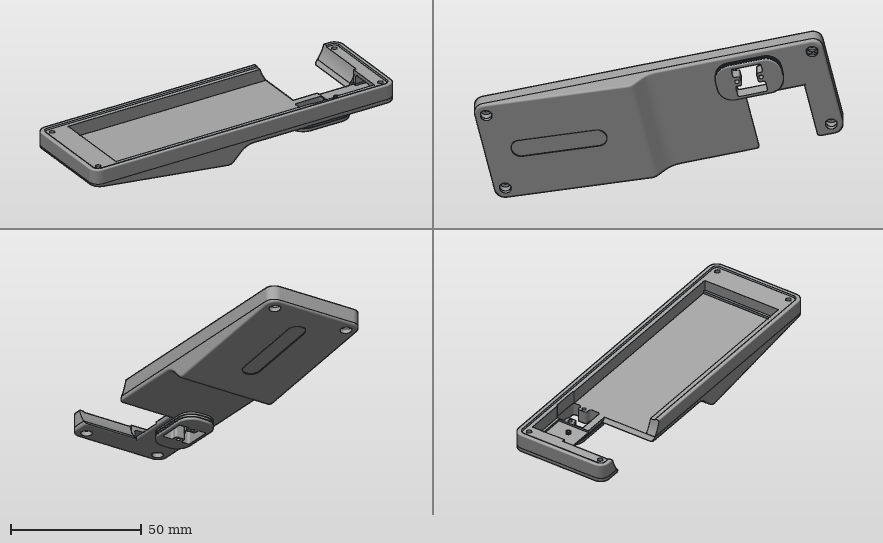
import cadquery as cq
import math


width = 42.1
length = 137.0
body_depth = 8.0
total_depth = 14.55
corner_radius = 4.0
top_fillet = 0.5
bottom_fillet = 0.9
left = -width / 2
rear = length / 2
front = -length / 2

front_depth = 7.1
tip_y = -7.4
tip_radius = 3.5
ramp_angle = math.radians(45)
ramp_blend_radius = 8.0

rim_width = 1.8
seat_depth = 0.5
seat_bevel = 0.4

pocket_half_width = 17.1
pocket_rear = 60.9
pocket_front = -55.4
pocket_depth = 6.0
step_width = 1.0
step_depth = 5.0

arch_radius = 16.3
arch_y = 46.4
arch_axis_height = 4.0
arch_end_x = 2.3
notch_half_length = 11.3
notch_corner_radius = 1.5

recess_right = 16.0
recess_front = 44.5
recess_depth = 6.8
post_x = 8.4
post_y = 49.2
post_diameter = 2.0
post_bore = 1.2

cavity_left = 3.8
cavity_step_x = 13.7
cavity_rear = 66.4
cavity_high_depth = 2.1
cavity_low_depth = 4.3
cavity_corner_radius = 1.0

window_left = 5.2
window_right = 17.5
window_y = 38.25
window_length = 11.7
window_corner_radius = 0.8
tab_x = 11.8
tab_width = 4.1
tab_reach = 2.6
tab_hole_diameter = 1.6
tab_hole_offset = 4.75

screw_x = 16.5
screw_y = 64.1
screw_diameter = 2.1
screw_head_diameter = 4.5
screw_seat_depth = 3.0

slot_width = 7.2
slot_rear = -20.5
slot_front = -58.0
slot_depth = 0.5

plug_width = 15.0
plug_length = 26.0
plug_corner_radius = 6.1
plug_depth = 11.4
plug_fillet = 0.5
groove_top_depth = 8.8
groove_bottom_depth = 9.9
groove_inset = 0.4

cut_margin = 5.0
edge_tolerance = 0.1


def block(x0, x1, y0, y1, z0, z1):
    return cq.Workplane("XY").box(x1 - x0, y1 - y0, z1 - z0, centered=False).translate((x0, y0, z0))


def rounded_block(size_x, size_y, radius, z0, z1, center=(0, 0)):
    outline = cq.Workplane("XY", origin=(center[0], center[1], z0)).rect(size_x, size_y)
    return outline.extrude(z1 - z0).edges("|Z").fillet(radius)


def post(x, y, diameter, z0, z1):
    return cq.Workplane("XY", origin=(x, y, z0)).circle(diameter / 2).extrude(z1 - z0)


tip_center_z = tip_radius - total_depth
tip_distance = math.hypot(tip_y - front, tip_center_z + front_depth)
slope_angle = (math.asin(tip_radius / tip_distance)
               - math.atan2(tip_center_z + front_depth, tip_y - front))


def tip_point(angle):
    return (tip_y + tip_radius * math.sin(angle), tip_center_z - tip_radius * math.cos(angle))


def side_profile():
    """Closed outline of the case in the YZ plane."""
    slope_end = tip_point(-slope_angle)
    ramp_start = tip_point(ramp_angle)
    ramp_top_y = ramp_start[0] + (-body_depth - ramp_start[1]) / math.tan(ramp_angle)
    blend_reach = ramp_blend_radius * math.tan(ramp_angle / 2)
    blend_center = (ramp_top_y + blend_reach, -body_depth - ramp_blend_radius)

    def blend_point(angle):
        return (blend_center[0] - ramp_blend_radius * math.sin(angle),
                blend_center[1] + ramp_blend_radius * math.cos(angle))

    return (
        cq.Workplane("YZ", origin=(left, 0, 0))
        .moveTo(front, 0)
        .lineTo(front, -front_depth)
        .lineTo(*slope_end)
        .threePointArc(tip_point((ramp_angle - slope_angle) / 2), ramp_start)
        .lineTo(*blend_point(ramp_angle))
        .threePointArc(blend_point(ramp_angle / 2), blend_point(0))
        .lineTo(rear, -body_depth)
        .lineTo(rear, 0)
        .close()
    )


def outer_shell():
    plan = rounded_block(width, length, corner_radius, -total_depth - cut_margin, 0)
    return side_profile().extrude(width).intersect(plan)


def round_underside(base):
    """Rounds the edges where the side walls meet the underside."""
    def on_underside_rim(edge):
        middle = edge.Center()
        box = edge.BoundingBox()
        is_below_seam = box.zmax < -pocket_depth - edge_tolerance
        is_vertical = box.xlen + box.ylen < edge_tolerance
        crosses_underside = box.xlen > width - edge_tolerance and abs(middle.y) < rear - edge_tolerance
        return is_below_seam and not (is_vertical or crosses_underside)

    rim_edges = [edge for edge in base.edges().vals() if on_underside_rim(edge)]
    return base.newObject(rim_edges).fillet(bottom_fillet)


def cover_seat():
    seat_width = width - 2 * rim_width
    seat_length = length - 2 * rim_width
    seat = rounded_block(seat_width, seat_length, corner_radius - rim_width,
                         -seat_depth, cut_margin)
    return seat.faces("<Z").chamfer(seat_depth, seat_bevel)


def frame_opening():
    main = block(-pocket_half_width, pocket_half_width, pocket_front, arch_y, -pocket_depth, 0)
    behind_arch = block(arch_end_x, pocket_half_width, arch_y, pocket_rear, -pocket_depth, 0)
    front_step = block(-pocket_half_width, pocket_half_width, pocket_front - step_width,
                       pocket_front, -step_depth, 0)
    return main.union(behind_arch).union(front_step)


def base_recess():
    return block(arch_end_x, recess_right, recess_front, pocket_rear, -recess_depth, -pocket_depth)


def arch_opening():
    length_x = arch_end_x - left + cut_margin
    axis_start = (left - cut_margin, arch_y, arch_axis_height)
    return cq.Workplane("YZ", origin=axis_start).circle(arch_radius).extrude(length_x)


def base_notch():
    """Upright notch below the arch; its mouth flares with rounded corners at the left side."""
    mouth_x = left + notch_corner_radius
    near_y = arch_y - notch_half_length
    far_y = arch_y + notch_half_length
    r = notch_corner_radius
    return (
        cq.Workplane("XY", origin=(0, 0, -total_depth))
        .moveTo(arch_end_x, near_y)
        .lineTo(mouth_x, near_y)
        .radiusArc((left, near_y - r), -r)
        .lineTo(left - cut_margin, near_y - r)
        .lineTo(left - cut_margin, far_y + r)
        .lineTo(left, far_y + r)
        .radiusArc((mouth_x, far_y), -r)
        .lineTo(arch_end_x, far_y)
        .close()
        .extrude(total_depth)
    )


def rear_cavity():
    high = block(cavity_left, cavity_step_x, pocket_rear, cavity_rear, -recess_depth, -cavity_high_depth)
    high = high.edges("|Y and >Z").fillet(cavity_corner_radius)
    low = block(cavity_left, recess_right, pocket_rear, cavity_rear, -recess_depth, -cavity_low_depth)
    return high.union(low)


def window(z0, z1):
    half_length = window_length / 2
    opening = block(window_left, window_right, window_y - half_length, window_y + half_length, z0, z1)
    for side in (-1, 1):
        tab = cq.Workplane("XY").box(tab_width, 2 * tab_reach, 2 * total_depth)
        opening = opening.cut(tab.translate((tab_x, window_y + side * half_length, 0)))
    opening = opening.edges("|Z").fillet(window_corner_radius)
    for side in (-1, 1):
        opening = opening.union(post(tab_x, window_y + side * tab_hole_offset, tab_hole_diameter, z0, z1))
    return opening


def screw_holes():
    holes = cq.Workplane("XY")
    for x in (-screw_x, screw_x):
        for y in (-screw_y, screw_y):
            shank = post(x, y, screw_diameter, -total_depth, 0)
            head = post(x, y, screw_head_diameter, -total_depth, -screw_seat_depth)
            holes = holes.add(shank.union(head))
    return holes.combine()


def underside_slot():
    slot_length = (slot_rear - slot_front) / math.cos(slope_angle)
    middle_y = (slot_front + slot_rear) / 2
    slope_end = tip_point(-slope_angle)
    middle_z = slope_end[1] + (slope_end[0] - middle_y) * math.tan(slope_angle)
    slope_plane = cq.Plane(
        origin=(0, middle_y, middle_z),
        xDir=(0, math.cos(slope_angle), -math.sin(slope_angle)),
        normal=(0, math.sin(slope_angle), math.cos(slope_angle)),
    )
    return cq.Workplane(slope_plane).slot2D(slot_length, slot_width).extrude(slot_depth)


def make_plug():
    center = ((window_left + window_right) / 2, window_y)
    plug = rounded_block(plug_width, plug_length, plug_corner_radius, -plug_depth, -body_depth, center)
    plug = plug.faces("<Z").edges().fillet(plug_fillet)
    band = rounded_block(plug_width + cut_margin, plug_length + cut_margin, plug_corner_radius,
                         -groove_bottom_depth, -groove_top_depth, center)
    core = rounded_block(plug_width - 2 * groove_inset, plug_length - 2 * groove_inset,
                         plug_corner_radius - groove_inset,
                         -groove_bottom_depth, -groove_top_depth, center)
    return plug.cut(band.cut(core))


def make_frame(shell):
    """Upper body: the walls above the seam, carrying the cover seat."""
    above_seam = block(left, -left, front, rear, -pocket_depth, 0)
    frame = shell.intersect(above_seam).faces(">Z").edges().fillet(top_fillet)
    frame = frame.cut(cover_seat()).cut(frame_opening())
    return frame.cut(arch_opening()).cut(rear_cavity()).cut(window(-pocket_depth, 0)).cut(screw_holes())


def make_base(shell):
    """Lower body: the floor below the seam, with the wedge and the plug."""
    below_seam = block(left, -left, front, rear, -total_depth, -pocket_depth)
    base = round_underside(shell.intersect(below_seam).cut(base_notch())).cut(arch_opening())
    base = base.cut(base_recess()).cut(rear_cavity()).cut(screw_holes()).cut(underside_slot())
    base = base.union(make_plug()).cut(window(-plug_depth, -pocket_depth))
    tube = post(post_x, post_y, post_diameter, -recess_depth, -pocket_depth)
    bore = post(post_x, post_y, post_bore, -recess_depth, -pocket_depth)
    return base.union(tube.cut(bore))


shell = outer_shell()
frame = make_frame(shell)
base = make_base(shell)
result = cq.Compound.makeCompound([frame.val(), base.val()])